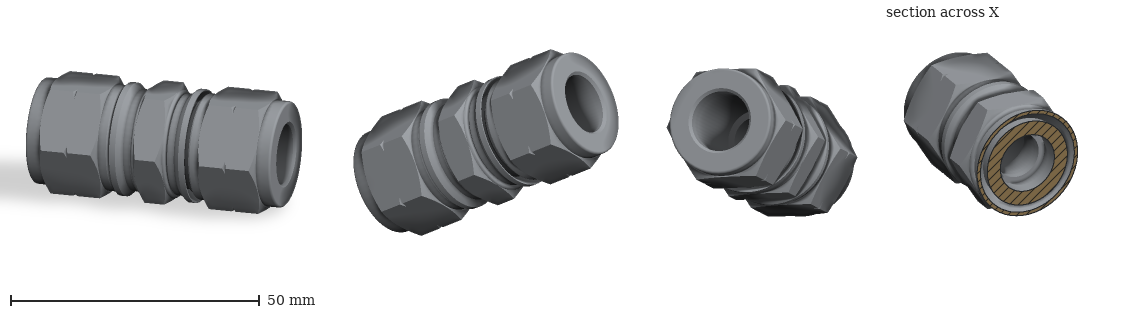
import cadquery as cq
import math

end_x = 25.85
across_flats = 21.95
across_corners = across_flats / math.cos(math.radians(30))
hex_chamfer_angle = math.radians(30)

nut_diameter = 21.5
nut_inner_x = 8.55
nut_hex_inner_x = 10.55
nut_hex_outer_x = 22.9
nut_end_fillet = 0.45
nut_inner_chamfer_length = 0.3
nut_inner_chamfer_depth = 0.15
notch_x = (nut_hex_inner_x + nut_hex_outer_x) / 2
notch_depth = 0.65
notch_half_width = 0.4

groove_diameter = 19.05
groove_cone_x = 7.5
root_diameter = 17.7
flange_diameter = 23.0
flange_outer_x = 7.9
flange_inner_x = 6.65
recess_diameter = 22.55
recess_floor_x = 4.9
neck_diameter = 20.6
neck_outer_x = 5.4
neck_inner_x = 4.0
collar_x = 3.65
root_x = groove_cone_x - (groove_diameter - root_diameter) / 2
neck_chamfer = neck_inner_x - collar_x
body_hex_x = 3.05
collar_fillet = collar_x - body_hex_x

through_diameter = 9.5
socket_diameter = 12.2
socket_depth = 22.75
mouth_diameter = 13.3
mouth_depth = (mouth_diameter - socket_diameter) / 2


def cylinder(diameter, start_x, stop_x):
    """Solid cylinder along X."""
    return cq.Workplane("YZ", origin=(start_x, 0, 0)).circle(diameter / 2).extrude(stop_x - start_x)


def revolve_profile(points):
    """Solid turned about the X axis from (x, radius) points."""
    return cq.Workplane("XY").polyline(points).close().revolve(360, (0, 0, 0), (1, 0, 0))


def chamfered_hex(start_x, stop_x):
    """Hexagon with corners on +/-Y and both ends turned to a cone that meets the flats."""
    prism = (
        cq.Workplane("YZ", origin=(start_x, 0, 0))
        .polygon(6, across_corners)
        .extrude(stop_x - start_x)
    )
    flat_radius = across_flats / 2
    corner_radius = across_corners / 2
    cone_length = (corner_radius - flat_radius) * math.tan(hex_chamfer_angle)
    envelope = revolve_profile([
        (start_x, 0),
        (start_x, flat_radius),
        (start_x + cone_length, corner_radius),
        (stop_x - cone_length, corner_radius),
        (stop_x, flat_radius),
        (stop_x, 0),
    ])
    return prism.intersect(envelope)


def corner_notches():
    """Ring with a V section that nicks the six corners of a nut."""
    corner_radius = across_corners / 2
    return revolve_profile([
        (notch_x, corner_radius - notch_depth),
        (notch_x - 2 * notch_half_width, corner_radius + notch_depth),
        (notch_x + 2 * notch_half_width, corner_radius + notch_depth),
    ])


def nut():
    """Nut on the +X side."""
    nut_radius = nut_diameter / 2
    sleeve = revolve_profile([
        (nut_inner_x, 0),
        (nut_inner_x, nut_radius - nut_inner_chamfer_depth),
        (nut_inner_x + nut_inner_chamfer_length, nut_radius),
        (end_x, nut_radius),
        (end_x, 0),
    ])
    sleeve = sleeve.faces(">X").edges().fillet(nut_end_fillet)
    return sleeve.union(chamfered_hex(nut_hex_inner_x, nut_hex_outer_x)).cut(corner_notches())


def half_body():
    """Groove, flange hollowed by a conical recess, and neck on the +X side."""
    neck_radius = neck_diameter / 2
    return revolve_profile([
        (0, 0),
        (0, neck_radius - neck_chamfer),
        (collar_x, neck_radius - neck_chamfer),
        (neck_inner_x, neck_radius),
        (neck_outer_x, neck_radius),
        (flange_inner_x, flange_diameter / 2),
        (flange_outer_x, flange_diameter / 2),
        (flange_outer_x, recess_diameter / 2),
        (recess_floor_x, root_diameter / 2),
        (root_x, root_diameter / 2),
        (groove_cone_x, groove_diameter / 2),
        (nut_inner_x, groove_diameter / 2),
        (nut_inner_x, 0),
    ])


def tube_socket():
    """Stepped bore entered from the +X end, with a chamfered mouth."""
    return revolve_profile([
        (end_x - socket_depth, 0),
        (end_x - socket_depth, socket_diameter / 2),
        (end_x - mouth_depth, socket_diameter / 2),
        (end_x, mouth_diameter / 2),
        (end_x, 0),
    ])


def middle():
    """Rounded collar with the central hexagon on it."""
    collar = cylinder(across_flats, -collar_x, collar_x).edges().fillet(collar_fillet)
    return collar.union(chamfered_hex(-body_hex_x, body_hex_x))


half = half_body().union(nut())
sockets = tube_socket().union(tube_socket().mirror("YZ"))
result = half.union(half.mirror("YZ")).union(middle())
result = result.cut(sockets).cut(cylinder(through_diameter, -end_x, end_x)).solids()